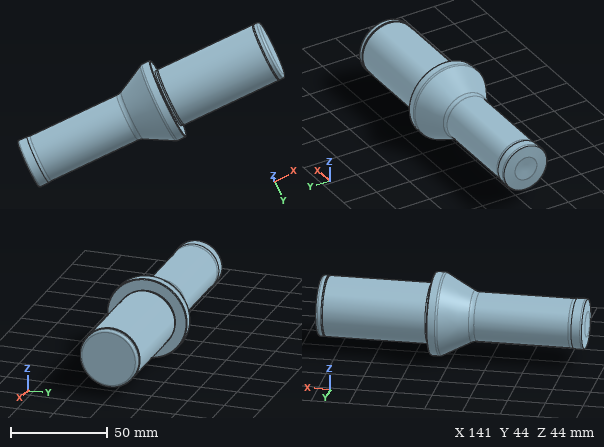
import cadquery as cq
import math

total_length = 141.0

head_radius = 13.4
head_back_radius = 13.3
head_length = 6.0
face_radius = 13.0
face_rise = 0.5
crest_radius = 6.6
dish_depth = 0.5
corner_length = 0.8
corner_bulge = 0.1

neck_radius = 26.0 / 2
head_taper_length = 1.7

collar_radius = 44.0 / 2
collar_back = 81.1
collar_rim_width = 4.5
collar_edge_chamfer = 0.4
cone_angle = math.radians(28)
foot_arc_radius = 5.6
shoulder_arc_radius = 2.4

mount_radius = 32.0 / 2
groove_radius = 31.5 / 2
relief_width = 1.0
relief_taper = 0.8
end_groove_start = 137.2
end_groove_width = 0.7
end_rounding = 1.3


def revolve_about_x(profile):
    """Close a half profile drawn in XY and turn it about the X axis."""
    return profile.close().revolve(360, (0, 0, 0), (1, 0, 0))


def make_cutting_head():
    corner_end = face_rise + corner_length
    corner_middle = (
        (face_rise + corner_end) / 2,
        (face_radius + head_radius) / 2 + corner_bulge,
    )
    profile = (
        cq.Workplane("XY")
        .moveTo(dish_depth, 0)
        .lineTo(0, crest_radius)
        .lineTo(face_rise, face_radius)
        .threePointArc(corner_middle, (corner_end, head_radius))
        .lineTo(head_length, head_back_radius)
        .lineTo(head_length, 0)
    )
    return revolve_about_x(profile)


def make_shank():
    arc_run = math.sin(cone_angle)
    arc_rise = 1 - math.cos(cone_angle)
    rim_start = collar_back - collar_rim_width
    cone_end = rim_start - shoulder_arc_radius * arc_run
    cone_end_radius = collar_radius - shoulder_arc_radius * arc_rise
    cone_start_radius = neck_radius + foot_arc_radius * arc_rise
    cone_start = cone_end - (cone_end_radius - cone_start_radius) / math.tan(cone_angle)
    neck_end = cone_start - foot_arc_radius * arc_run

    relief_end = collar_back + relief_width
    end_groove_end = end_groove_start + end_groove_width
    profile = (
        cq.Workplane("XY")
        .moveTo(head_length, 0)
        .lineTo(head_length, head_back_radius)
        .lineTo(head_length + head_taper_length, neck_radius)
        .lineTo(neck_end, neck_radius)
        .tangentArcPoint((cone_start, cone_start_radius), relative=False)
        .lineTo(cone_end, cone_end_radius)
        .tangentArcPoint((rim_start, collar_radius), relative=False)
        .lineTo(collar_back - collar_edge_chamfer, collar_radius)
        .lineTo(collar_back, collar_radius - collar_edge_chamfer)
        .lineTo(collar_back, groove_radius)
        .lineTo(relief_end, groove_radius)
        .lineTo(relief_end + relief_taper, mount_radius)
        .lineTo(end_groove_start, mount_radius)
        .lineTo(end_groove_start, groove_radius)
        .lineTo(end_groove_end, groove_radius)
        .lineTo(end_groove_end, mount_radius)
        .lineTo(total_length - end_rounding, mount_radius)
        .tangentArcPoint((total_length, mount_radius - end_rounding), relative=False)
        .lineTo(total_length, 0)
    )
    return revolve_about_x(profile)


cutting_head = make_cutting_head()
shank = make_shank()

result = cq.Compound.makeCompound([cutting_head.val(), shank.val()])